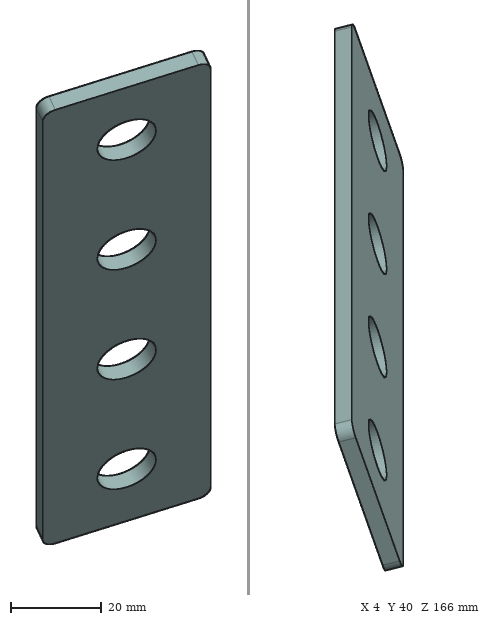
import cadquery as cq

thickness = 4.0
width = 40.0
height = 166.0
corner_radius = 3.0

hole_diameter = 14.0
hole_count = 4
hole_pitch = 42.0

plate = cq.Workplane("XY").box(thickness, width, height).edges("|X").fillet(corner_radius)

result = (
    plate.faces("<X")
    .workplane(centerOption="CenterOfBoundBox")
    .rarray(width, hole_pitch, 1, hole_count)
    .hole(hole_diameter)
)